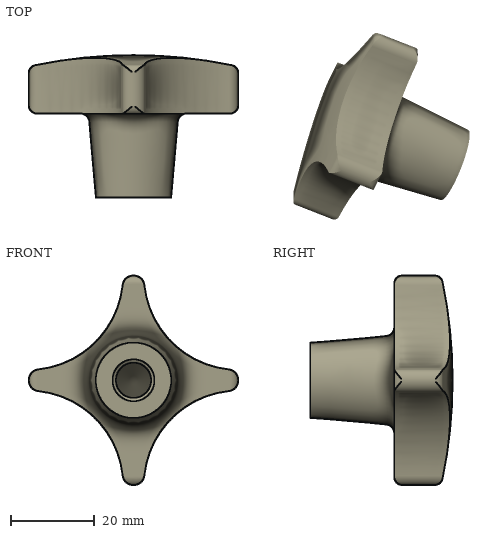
import math

import cadquery as cq


head_radius = 25.0
head_base = 20.0
crown_height = 34.0
dome_radius = 115.0
rim_fillet = 2.0
arm_count = 4
scallop_radius = 22.5
scallop_offset = 25.0

hub_end_radius = 9.0
hub_draft = math.radians(5)
hub_fillet = 2.0

bore_diameter = 8.4
bore_mouth_diameter = 10.0
bore_depth = 20.0
drill_point_angle = math.radians(118)


def polar(radius, angle):
    return (radius * math.cos(angle), radius * math.sin(angle))


def revolve_about_y(profile):
    """Revolve a closed (radius, Y) profile around the knob axis."""
    return profile.revolve(360, (0, 0, 0), (0, 1, 0))


def domed_disc():
    """Disc with a flat base, a spherical crown and both rim edges rounded."""
    dome_center = crown_height - dome_radius
    fillet_center = head_radius - rim_fillet
    inner_dome_radius = dome_radius - rim_fillet
    dome_slope = math.asin(fillet_center / inner_dome_radius)
    upper_center = dome_center + inner_dome_radius * math.cos(dome_slope)
    lower_center = head_base + rim_fillet

    def dome_point(slope):
        return (dome_radius * math.sin(slope), dome_center + dome_radius * math.cos(slope))

    def rim_point(center, angle):
        across, along = polar(rim_fillet, angle)
        return (fillet_center + across, center + along)

    rim_tangent_angle = math.pi / 2 - dome_slope
    profile = (
        cq.Workplane("XY")
        .moveTo(0, head_base)
        .lineTo(fillet_center, head_base)
        .threePointArc(rim_point(lower_center, -math.pi / 4), (head_radius, lower_center))
        .lineTo(head_radius, upper_center)
        .threePointArc(rim_point(upper_center, rim_tangent_angle / 2), dome_point(dome_slope))
        .threePointArc(dome_point(dome_slope / 2), (0, crown_height))
        .close()
    )
    return revolve_about_y(profile)


def star_prism():
    """Prism whose round arm tips run tangentially into the concave scallops between the arms."""
    axis_distance = math.hypot(scallop_offset, scallop_offset)
    tip_radius = (scallop_offset**2 + (scallop_offset - head_radius) ** 2 - scallop_radius**2) / (
        2 * (scallop_radius + scallop_offset - head_radius)
    )
    tip_center = head_radius - tip_radius
    tangent_angle = math.atan2(scallop_offset, scallop_offset - tip_center)
    tangent_across = tip_center + tip_radius * math.cos(tangent_angle)
    tangent_up = tip_radius * math.sin(tangent_angle)
    tangent_radius = math.hypot(tangent_across, tangent_up)
    tangent_bearing = math.atan2(tangent_up, tangent_across)

    arm_pitch = 2 * math.pi / arm_count
    outline = cq.Workplane("XZ").moveTo(*polar(tangent_radius, -tangent_bearing))
    for arm in range(arm_count):
        bearing = arm * arm_pitch
        outline = outline.threePointArc(
            polar(head_radius, bearing),
            polar(tangent_radius, bearing + tangent_bearing),
        ).threePointArc(
            polar(axis_distance - scallop_radius, bearing + arm_pitch / 2),
            polar(tangent_radius, bearing + arm_pitch - tangent_bearing),
        )
    return outline.close().extrude(-crown_height)


def hub():
    """Tapered hub that flares into the head base through a concave fillet."""
    root_radius = hub_end_radius + head_base * math.tan(hub_draft)
    flare_reach = hub_fillet * math.tan(math.pi / 4 - hub_draft / 2)
    flare_radius = root_radius + flare_reach
    flare_center = head_base - hub_fillet

    def flare_point(angle):
        return (flare_radius - hub_fillet * math.cos(angle), flare_center + hub_fillet * math.sin(angle))

    profile = (
        cq.Workplane("XY")
        .lineTo(hub_end_radius, 0)
        .lineTo(*flare_point(hub_draft))
        .threePointArc(flare_point((hub_draft + math.pi / 2) / 2), (flare_radius, head_base))
        .lineTo(flare_radius, head_base + hub_fillet)
        .lineTo(0, head_base + hub_fillet)
        .close()
    )
    return revolve_about_y(profile)


def bore():
    """Blind drilled bore with a 45 degree chamfered mouth and a conical bottom."""
    bore_radius = bore_diameter / 2
    mouth_radius = bore_mouth_diameter / 2
    point_length = bore_radius / math.tan(drill_point_angle / 2)
    profile = (
        cq.Workplane("XY")
        .lineTo(mouth_radius, 0)
        .lineTo(bore_radius, mouth_radius - bore_radius)
        .lineTo(bore_radius, bore_depth)
        .lineTo(0, bore_depth + point_length)
        .close()
    )
    return revolve_about_y(profile)


result = domed_disc().intersect(star_prism()).union(hub()).cut(bore())